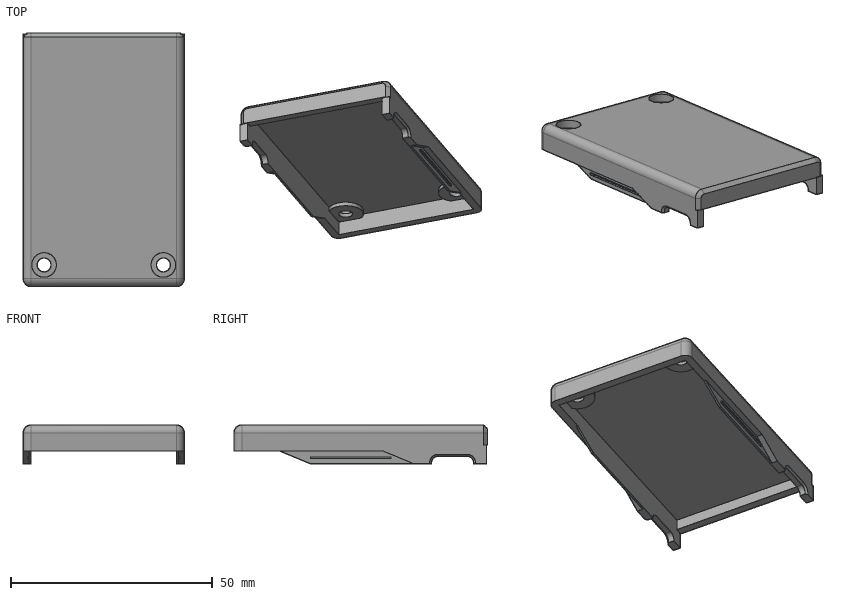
import cadquery as cq
import math

width = 40.0
length = 62.95
height = 9.66
wall = 2.0
edge_radius = 2.0

front_wall_height = 6.5
lip_height = 5.0
rim_z = height - front_wall_height
lip_z = height - lip_height

lip_overhang = 0.25
lip_chamfer = 1.0

screw_inset_x = 5.2
screw_inset_y = 5.4
screw_diameter = 3.4
head_diameter = 6.1
head_depth = 2.0
boss_diameter = 8.8
boss_drop = 3.0

skirt_slope_run = 7.6
full_skirt_reach = 18.3
tongue_reach = 44.0
full_skirt_end_y = length - full_skirt_reach
tongue_end_y = length - tongue_reach
tongue_thickness = 0.5
tongue_face_x = width / 2 - wall + tongue_thickness

ridge_length = 20.0
ridge_height = 0.45
ridge_depth = 0.4
ridge_z = 1.5

notch_width = 10.4
notch_height = 1.85
notch_radius = 1.6
notch_flare = 0.5
notch_rear_distance = 8.7
notch_y = length - notch_rear_distance


def make_block(block_length, bottom_z, top_z):
    """Solid block of the full cover width, centred in X, starting at the front face."""
    block = cq.Workplane("XY").box(width, block_length, top_z - bottom_z, centered=(True, False, False))
    return block.translate((0, 0, bottom_z))


def make_cover():
    """Rounded hollow cover with a bevelled rear lip."""
    outer = make_block(length, rim_z, height)
    outer = outer.edges("|Z and <Y").fillet(edge_radius)
    outer = outer.faces(">Z").edges("not >Y").fillet(edge_radius)

    upper = outer.intersect(make_block(length, lip_z, height))
    upper = upper.faces(">Y").edges("not <Z").chamfer(lip_chamfer)
    lower = outer.intersect(make_block(length - lip_overhang, rim_z, lip_z))
    outer = upper.union(lower)

    inner_width = width - 2 * wall
    cavity = (
        cq.Workplane("YZ")
        .polyline([
            (wall, rim_z),
            (wall, height - wall),
            (length - wall, height - wall),
            (length - wall, lip_z),
            (length, lip_z),
            (length, rim_z),
        ])
        .close()
        .extrude(inner_width / 2, both=True)
    )
    return outer.cut(cavity)


def skirt_profile(rear_y, front_y, inner_x, thickness):
    """Plate parallel to YZ, hanging below the rim, with a sloping front end."""
    points = [
        (rear_y, rim_z),
        (rear_y, 0),
        (front_y, 0),
        (front_y - skirt_slope_run, rim_z),
    ]
    plate = cq.Workplane("YZ").polyline(points).close().extrude(thickness)
    return plate.translate((inner_x, 0, 0))


def notch_section(offset):
    """Half-open notch outline with rounded upper corners, grown by an offset."""
    half_width = notch_width / 2 + offset
    top = notch_height + offset
    radius = notch_radius + offset
    shoulder = half_width - radius
    diagonal = radius * math.sqrt(0.5)
    return (
        cq.Workplane("YZ")
        .moveTo(-half_width, 0)
        .lineTo(-half_width, top - radius)
        .threePointArc((-shoulder - diagonal, top - radius + diagonal), (-shoulder, top))
        .lineTo(shoulder, top)
        .threePointArc((shoulder + diagonal, top - radius + diagonal), (half_width, top - radius))
        .lineTo(half_width, 0)
        .close()
    )


def make_notch():
    """Notch through the +X skirt, widening over its outermost stretch."""
    straight = notch_section(0).extrude(wall).translate((width / 2 - wall, notch_y, 0))
    flare_start = notch_section(0).wires().val()
    flare_end = notch_section(notch_flare).wires().val().translate(cq.Vector(notch_flare, 0, 0))
    flare = cq.Workplane(cq.Solid.makeLoft([flare_start, flare_end], True))
    return straight.union(flare.translate((width / 2 - notch_flare, notch_y, 0)))


def make_skirt():
    """Skirt on the +X side with its snap tongue, ridge and notch."""
    inner_x = width / 2 - wall
    rear_y = length - lip_overhang
    full = skirt_profile(rear_y, full_skirt_end_y, inner_x, wall)
    tongue = skirt_profile(full_skirt_end_y, tongue_end_y, inner_x, tongue_thickness)
    ridge = cq.Workplane("XY").box(ridge_depth, ridge_length, ridge_height, centered=(False, False, True))
    ridge = ridge.translate((tongue_face_x, tongue_end_y, ridge_z))
    return full.union(tongue).union(ridge).cut(make_notch())


def upright_cylinder(x, diameter, bottom_z, top_z):
    """Vertical cylinder on a screw axis."""
    base = cq.Workplane("XY", origin=(x, screw_inset_y, bottom_z))
    return base.circle(diameter / 2).extrude(top_z - bottom_z)


def add_screw_holes(cover):
    """Bosses under the top wall, each with a counterbored through hole."""
    screw_x = width / 2 - screw_inset_x
    for x in (-screw_x, screw_x):
        cover = cover.union(upright_cylinder(x, boss_diameter, height - boss_drop, height - wall))
        cover = cover.cut(upright_cylinder(x, screw_diameter, height - boss_drop, height))
        cover = cover.cut(upright_cylinder(x, head_diameter, height - head_depth, height))
    return cover


skirt = make_skirt()
cover = add_screw_holes(make_cover())
result = cover.union(skirt).union(skirt.mirror("YZ"))